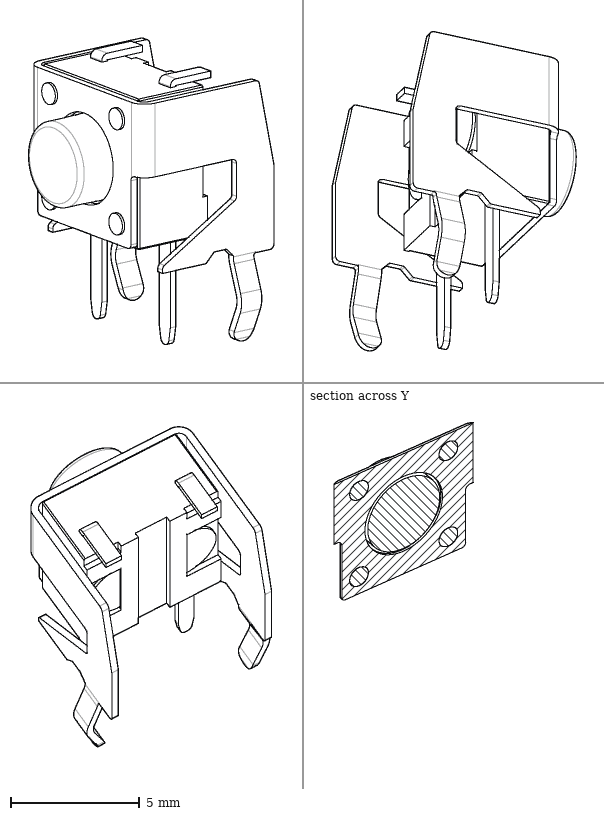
import cadquery as cq
import math


SHEET = 0.3
BRACKET_HALF_WIDTH = 3.66
BRACKET_TOP = 3.0
BRACKET_BOTTOM = -4.0
BRACKET_DEPTH = 6.53
BEND_OUTER_RADIUS = 0.65
BEND_INNER_RADIUS = BEND_OUTER_RADIUS - SHEET
PLATE_HALF_WIDTH = 2.98
CORNER_RADIUS = 0.2
SMALL_CORNER_RADIUS = 0.1
BUTTON_HOLE_RADIUS = 1.85

BACK_TOP_Y = 5.78
BACK_LEAN_Z = -0.58
WINDOW_BACK_Y = 4.68
WINDOW_CORNER_Z = -1.64
ARM_TIP_Y = 1.03
ARM_SLOPE = 30.0
ARM_TIP_Z = WINDOW_CORNER_Z - (WINDOW_BACK_Y - ARM_TIP_Y) * math.tan(math.radians(ARM_SLOPE))
ARCH_TOP_Z = -3.6
ARCH_FRONT_Y = 3.58
ARCH_BACK_Y = 4.2
ARCH_RISE = ARCH_TOP_Z - BRACKET_BOTTOM

LEG_WIDTH = 1.0
LEG_CENTRE_Y = 5.03
LEG_TOP = -3.93
LEG_END = -7.5
LEG_START_X = BRACKET_HALF_WIDTH - SHEET / 2
LEG_BEND_RADIUS = 0.92
LEG_KNEE_X = 4.1
LEG_KNEE_Z = -5.77
LEG_UPPER_BEND_Z = -4.13
LEG_LOWER_BEND_Z = -7.17
LEG_END_X = 3.47
LEG_MIDLINE = [
    (LEG_START_X, LEG_TOP),
    (LEG_START_X, LEG_UPPER_BEND_Z),
    (LEG_KNEE_X, LEG_KNEE_Z),
    (LEG_END_X, LEG_LOWER_BEND_Z),
    (LEG_END_X, LEG_END),
]

HOUSING_HALF = 3.07
HOUSING_FRONT_Y = SHEET
HOUSING_BACK_Y = 3.71
HOUSING_CHAMFER = 0.07
RECESS_DEPTH = 0.23
SLOT_HALF_WIDTH = 0.72
RIB_OUTER_X = 1.5
RECESS_HALF_HEIGHT = 1.48
LEDGE_TOP = 2.61
PAD_RADIUS = 1.4
PAD_HEIGHT = 0.12

BUTTON_BASE_RADIUS = 1.74
BUTTON_TIP_RADIUS = 1.72
BUTTON_FRONT_Y = -1.52
BUTTON_ROUND = 0.2

RIVET_RADIUS = 0.44
RIVET_SPACING = 4.29
RIVET_FRONT_Y = -0.11

PIN_CENTRE_X = 2.19
PIN_WIDTH = 0.72
PIN_THICKNESS = 0.27
PIN_FRONT_Y = 2.27
PIN_BACK_Y = PIN_FRONT_Y + PIN_THICKNESS
PIN_TAPER_Z = -6.71
PIN_ROUND_Z = -7.27
PIN_ROUND_HALF_WIDTH = 0.26
PIN_END = -7.47
TAB_TOP = 3.38
TAB_BACK_Y = 4.28


def cylinder_along_y(radius, front_y, back_y, x=0, z=0):
    axis_start = cq.Vector(x, front_y, z)
    return cq.Workplane(cq.Solid.makeCylinder(radius, back_y - front_y, axis_start, cq.Vector(0, 1, 0)))


def block(x_range, y_range, z_range):
    size = [high - low for low, high in (x_range, y_range, z_range)]
    return (
        cq.Workplane()
        .box(*size, centered=False)
        .translate((x_range[0], y_range[0], z_range[0]))
    )


def rivets(back_y):
    """Four round rivets from their front faces back to back_y."""
    half = RIVET_SPACING / 2
    heads = cq.Workplane()
    for x in (-half, half):
        for z in (-half, half):
            heads = heads.union(cylinder_along_y(RIVET_RADIUS, RIVET_FRONT_Y, back_y, x, z))
    return heads


def front_plate():
    """Front plate with its two side bends, up to where the flat side walls begin."""
    outer = (
        block(
            (-BRACKET_HALF_WIDTH, BRACKET_HALF_WIDTH),
            (0, 2 * BEND_OUTER_RADIUS),
            (-BRACKET_TOP, BRACKET_TOP),
        )
        .edges("|Z and <Y")
        .fillet(BEND_OUTER_RADIUS)
    )
    inner_half_width = BRACKET_HALF_WIDTH - SHEET
    inner = (
        block(
            (-inner_half_width, inner_half_width),
            (SHEET, 2 * BEND_OUTER_RADIUS),
            (-BRACKET_TOP, BRACKET_TOP),
        )
        .edges("|Z and <Y")
        .fillet(BEND_INNER_RADIUS)
    )
    kept_depth = block(
        (-BRACKET_HALF_WIDTH, BRACKET_HALF_WIDTH),
        (0, BEND_OUTER_RADIUS),
        (-BRACKET_TOP, BRACKET_TOP),
    )
    plate = outer.cut(inner).intersect(kept_depth)

    notch = (
        block((PLATE_HALF_WIDTH, BRACKET_HALF_WIDTH), (0, BEND_OUTER_RADIUS), (-BRACKET_TOP, 0))
        .edges("|Y and <X and >Z")
        .fillet(CORNER_RADIUS)
    )
    plate = plate.cut(notch).cut(notch.mirror("YZ"))
    plate = plate.edges("|Y and <Z").fillet(CORNER_RADIUS)
    plate = plate.cut(cylinder_along_y(BUTTON_HOLE_RADIUS, 0, SHEET))
    return plate.cut(rivets(SHEET))


def side_wall():
    """Flat wall on the +X side, with its window, sloping arm and bottom arch."""
    leg_front_y = LEG_CENTRE_Y - LEG_WIDTH / 2
    leg_back_y = LEG_CENTRE_Y + LEG_WIDTH / 2
    outline = [
        (BEND_OUTER_RADIUS, 0),
        (BEND_OUTER_RADIUS, BRACKET_TOP),
        (BACK_TOP_Y, BRACKET_TOP),
        (BRACKET_DEPTH, BACK_LEAN_Z),
        (BRACKET_DEPTH, BRACKET_BOTTOM),
        (leg_back_y, BRACKET_BOTTOM),
        (leg_back_y, LEG_TOP),
        (leg_front_y, LEG_TOP),
        (ARCH_BACK_Y, ARCH_TOP_Z),
        (ARCH_FRONT_Y, ARCH_TOP_Z),
        (ARCH_FRONT_Y - ARCH_RISE, BRACKET_BOTTOM),
        (ARM_TIP_Y, BRACKET_BOTTOM),
        (ARM_TIP_Y, ARM_TIP_Z),
        (WINDOW_BACK_Y, WINDOW_CORNER_Z),
        (WINDOW_BACK_Y, 0),
    ]
    rounded_corners = [
        ((BACK_TOP_Y, BRACKET_TOP), CORNER_RADIUS),
        ((BRACKET_DEPTH, BRACKET_BOTTOM), CORNER_RADIUS),
        ((ARM_TIP_Y, ARM_TIP_Z), CORNER_RADIUS),
        ((WINDOW_BACK_Y, WINDOW_CORNER_Z), CORNER_RADIUS),
        ((WINDOW_BACK_Y, 0), CORNER_RADIUS),
        ((ARCH_BACK_Y, ARCH_TOP_Z), SMALL_CORNER_RADIUS),
        ((ARCH_FRONT_Y, ARCH_TOP_Z), SMALL_CORNER_RADIUS),
        ((ARCH_FRONT_Y - ARCH_RISE, BRACKET_BOTTOM), SMALL_CORNER_RADIUS),
    ]
    inner_x = BRACKET_HALF_WIDTH - SHEET
    wall = cq.Workplane("YZ", origin=(inner_x, 0, 0)).polyline(outline).close().extrude(SHEET)
    for (y, z), radius in rounded_corners:
        corner = cq.selectors.NearestToPointSelector((LEG_START_X, y, z))
        wall = wall.edges("|X").edges(corner).fillet(radius)
    return wall


def spring_leg():
    """Bent leg below the +X side wall, with a round end and a rounded back root corner."""
    points = [cq.Vector(x, LEG_CENTRE_Y, z) for x, z in LEG_MIDLINE]
    bent = cq.Wire.makePolygon(points).fillet(LEG_BEND_RADIUS)
    strip = (
        cq.Workplane("XY", origin=points[0].toTuple())
        .rect(SHEET, 2 * LEG_WIDTH)
        .sweep(cq.Workplane(bent))
    )
    half = LEG_WIDTH / 2
    silhouette = (
        cq.Workplane("YZ", origin=(0, LEG_CENTRE_Y, 0))
        .moveTo(-half, LEG_TOP)
        .lineTo(-half, LEG_END + half)
        .threePointArc((0, LEG_END), (half, LEG_END + half))
        .lineTo(half, BRACKET_BOTTOM - SMALL_CORNER_RADIUS)
        .radiusArc((half + SMALL_CORNER_RADIUS, BRACKET_BOTTOM), SMALL_CORNER_RADIUS)
        .lineTo(half + SMALL_CORNER_RADIUS, LEG_TOP)
        .close()
        .extrude(2 * BRACKET_HALF_WIDTH)
    )
    return strip.intersect(silhouette)


def make_bracket():
    side = side_wall().union(spring_leg())
    return front_plate().union(side).union(side.mirror("YZ"))


def housing():
    """Square block with a ribbed and recessed back."""
    full = (-HOUSING_HALF, HOUSING_HALF)
    base_back_y = HOUSING_BACK_Y - RECESS_DEPTH
    back_layer = (base_back_y, HOUSING_BACK_Y)
    base = block(full, (HOUSING_FRONT_Y, base_back_y), full)
    base = base.edges("|Y or <Y").chamfer(HOUSING_CHAMFER)
    for side in (-1, 1):
        rib_x = sorted((side * SLOT_HALF_WIDTH, side * RIB_OUTER_X))
        foot_x = sorted((side * RIB_OUTER_X, side * HOUSING_HALF))
        pad = cylinder_along_y(PAD_RADIUS, base_back_y, base_back_y + PAD_HEIGHT, x=side * RIB_OUTER_X)
        pad = pad.intersect(block(foot_x, back_layer, full))
        base = base.union(block(rib_x, back_layer, full))
        base = base.union(block(foot_x, back_layer, (-HOUSING_HALF, -RECESS_HALF_HEIGHT)))
        base = base.union(block(foot_x, back_layer, (RECESS_HALF_HEIGHT, LEDGE_TOP)))
        base = base.union(pad)
    return base


def button():
    """Slightly tapered round button with a rounded front edge."""
    length = HOUSING_FRONT_Y - BUTTON_FRONT_Y
    cone = cq.Solid.makeCone(
        BUTTON_BASE_RADIUS,
        BUTTON_TIP_RADIUS,
        length,
        cq.Vector(0, HOUSING_FRONT_Y, 0),
        cq.Vector(0, -1, 0),
    )
    return cq.Workplane(cone).faces("<Y").edges().fillet(BUTTON_ROUND)


def pin(x):
    """Flat pin: a rounded blade below the housing and a tab bent backward above it."""
    half = PIN_WIDTH / 2
    blade = (
        cq.Workplane("XZ", origin=(x, PIN_BACK_Y, 0))
        .moveTo(-half, 0)
        .lineTo(-half, PIN_TAPER_Z)
        .lineTo(-PIN_ROUND_HALF_WIDTH, PIN_ROUND_Z)
        .threePointArc((0, PIN_END), (PIN_ROUND_HALF_WIDTH, PIN_ROUND_Z))
        .lineTo(half, PIN_TAPER_Z)
        .lineTo(half, 0)
        .close()
        .extrude(PIN_THICKNESS)
    )
    tab_bottom = TAB_TOP - PIN_THICKNESS
    bend_middle = PIN_THICKNESS * math.sqrt(0.5)
    tab = (
        cq.Workplane("YZ", origin=(x - half, 0, 0))
        .moveTo(PIN_FRONT_Y, 0)
        .lineTo(PIN_FRONT_Y, tab_bottom)
        .threePointArc((PIN_BACK_Y - bend_middle, tab_bottom + bend_middle), (PIN_BACK_Y, TAB_TOP))
        .lineTo(TAB_BACK_Y, TAB_TOP)
        .lineTo(TAB_BACK_Y, tab_bottom)
        .lineTo(PIN_BACK_Y, tab_bottom)
        .lineTo(PIN_BACK_Y, 0)
        .close()
        .extrude(PIN_WIDTH)
    )
    return blade.union(tab)


def make_switch():
    switch = housing().union(button()).union(rivets(HOUSING_FRONT_Y))
    for x in (-PIN_CENTRE_X, PIN_CENTRE_X):
        switch = switch.union(pin(x))
    return switch


bracket = make_bracket()
switch = make_switch()
result = cq.Compound.makeCompound([bracket.val(), switch.val()])